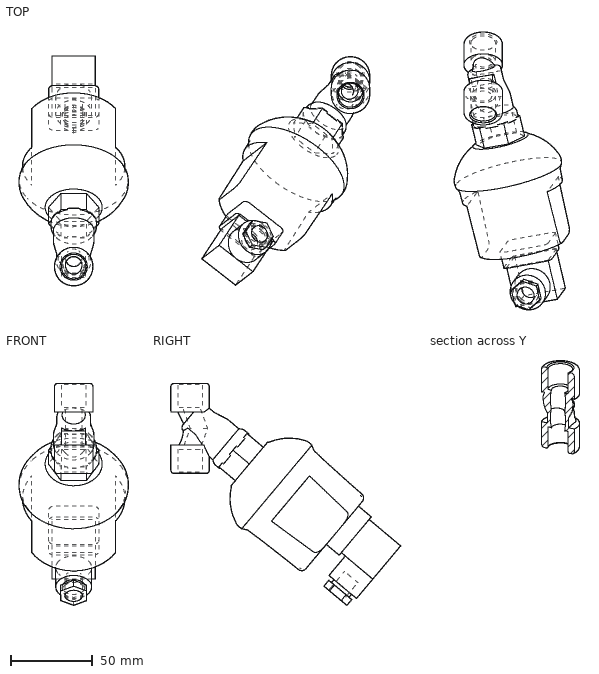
import math

import cadquery as cq

AXIS_TILT = 40.0
FULL_TURN = 360.0
OVERLAP = 1.0

PORT_RADIUS = 11.8
PORT_TOP = 18.85
PORT_SPAN = 55.0
PORT_LENGTH = 17.5
PORT_EDGE_FILLET = 2.0
PORT_BORE_RADIUS = 7.5
PORT_BORE_DEPTH = 14.6
PORT_BORE_CHAMFER = 0.8
PASSAGE_RADIUS = 5.0
PASSAGE_LEAN = 20.0
PASSAGE_MOUTH_OFFSET = 0.7
PORT_BOTTOM = PORT_TOP - PORT_SPAN
PORT_MID = PORT_TOP - PORT_SPAN / 2
UPPER_PORT_UNDERSIDE = PORT_TOP - PORT_LENGTH
LOWER_PORT_TOP = PORT_BOTTOM + PORT_LENGTH

WEB_WIDTH = 14.7
WEB_FRONT_TOP = (-4.2, PORT_MID - 1.5)
WEB_FRONT_WAIST = (-5.0, PORT_MID - 6.0)
WEB_FRONT_FOOT = (-6.8, LOWER_PORT_TOP)
WEB_CREST = (3.0, PORT_MID + 3.0)
WEB_BACK_FOOT = (8.1, LOWER_PORT_TOP)
WEB_BACK_TOP = (9.0, PORT_MID)

NECK_TIP_STATION = 9.0
NECK_TIP_RADIUS = 2.8
NOSE_STATION = -0.8
NOSE_RADIUS = 7.8
NOSE_CONE_RADIUS = 7.1
NOSE_FILLET = 2.6
THROAT_RADIUS = NOSE_RADIUS + NOSE_FILLET
THROAT_START = -10.6
BARREL_RADIUS = 12.4
BARREL_ROUND = (-18.7, 12.2)
BARREL_FRONT = -19.7
BARREL_BACK = -28.5
COLLAR_BACK = -35.15
COLLAR_RADIUS = 13.9
COLLAR_ROUND_START = -32.0
COLLAR_ROUND_MID = (-30.8, 13.75)
COLLAR_ROUND_END = (-29.8, 13.3)

HEX_ACROSS_FLATS = 26.7

DOME_FACE = -47.2
DOME_FACE_RADIUS = 17.4
DOME_LIP = (-47.9, 18.1)
DOME_MID = (-55.3, 27.5)
DOME_START = (-64.6, 33.1)
RIM_STATION = -67.2
RIM_RADIUS = 33.5
RIM_MID = (-65.9, 33.4)
RIM_BACK = (-69.1, 33.3)
RIM_FOOT = (-72.0, 31.8)
BODY_FRONT = -72.8
BODY_FRONT_RADIUS = 31.6
BODY_BACK = -114.8
BODY_BACK_RADIUS = 30.1
BODY_EDGE_FILLET = 3.3
BODY_FLAT_WIDTH = 51.3
BODY_FLAT_FRONT = -80.0

CONNECTOR_OFFSET = 7.85
PLATE_SIZE = 30.6
PLATE_CORNER_RADIUS = 3.5
PLATE_BACK = -125.0
BOX_SIZE = 26.5
BOX_BACK = -150.15
GLAND_RADIUS = 11.0
GLAND_STATION = BOX_BACK + GLAND_RADIUS
GLAND_END = -20.9
GLAND_NECK_RADIUS = 7.0
GLAND_NUT_TOP = -23.2
GLAND_NUT_BOTTOM = -27.9
GLAND_NUT_ACROSS_FLATS = 15.9
GLAND_HOLE_RADIUS = 5.3
GLAND_HOLE_DEPTH = 15.0


def hexagon_diameter(across_flats):
    """Diameter over the corners of a regular hexagon."""
    return across_flats / math.cos(math.radians(30))


def place_on_valve_axis(shape):
    """Tilt a shape modelled along +Z so that its axis points forward (-Y) and up."""
    return shape.rotate((0, 0, 0), (1, 0, 0), 90 - AXIS_TILT)


def valve_profile_solid(outline):
    """Spin a (radius, station) outline about the valve axis, still modelled along +Z."""
    return outline.close().revolve(FULL_TURN, (0, 0, 0), (0, 1, 0))


def profile_point(station_and_radius):
    """Turn a (station, radius) pair into sketch coordinates."""
    station, radius = station_and_radius
    return radius, station


def make_neck():
    nose_center_radius = THROAT_RADIUS - NOSE_FILLET
    nose_center_station = NOSE_STATION - NOSE_FILLET
    diagonal = NOSE_FILLET * math.sqrt(0.5)
    outline = (
        cq.Workplane("XZ")
        .moveTo(0, COLLAR_BACK)
        .lineTo(COLLAR_RADIUS, COLLAR_BACK)
        .lineTo(COLLAR_RADIUS, COLLAR_ROUND_START)
        .threePointArc(profile_point(COLLAR_ROUND_MID), profile_point(COLLAR_ROUND_END))
        .lineTo(BARREL_RADIUS, BARREL_BACK)
        .lineTo(BARREL_RADIUS, BARREL_FRONT)
        .lineTo(*profile_point(BARREL_ROUND))
        .lineTo(THROAT_RADIUS, THROAT_START)
        .lineTo(THROAT_RADIUS, nose_center_station)
        .threePointArc(
            (nose_center_radius + diagonal, nose_center_station + diagonal),
            (NOSE_RADIUS, NOSE_STATION),
        )
        .lineTo(NOSE_CONE_RADIUS, NOSE_STATION)
        .lineTo(NECK_TIP_RADIUS, NECK_TIP_STATION)
        .lineTo(0, NECK_TIP_STATION)
    )
    neck = place_on_valve_axis(valve_profile_solid(outline))
    headroom = (
        cq.Workplane("XY", origin=(0, 0, UPPER_PORT_UNDERSIDE + OVERLAP))
        .circle(PORT_RADIUS - OVERLAP)
        .extrude(PORT_LENGTH)
    )
    return neck.cut(headroom)


def make_hexagon():
    hexagon = (
        cq.Workplane("XY", origin=(0, 0, DOME_FACE - OVERLAP))
        .polygon(6, hexagon_diameter(HEX_ACROSS_FLATS))
        .extrude(COLLAR_BACK - DOME_FACE + 2 * OVERLAP)
    )
    return place_on_valve_axis(hexagon)


def make_housing():
    outline = (
        cq.Workplane("XZ")
        .moveTo(0, BODY_BACK)
        .lineTo(BODY_BACK_RADIUS, BODY_BACK)
        .lineTo(BODY_FRONT_RADIUS, BODY_FRONT)
        .lineTo(*profile_point(RIM_FOOT))
        .lineTo(*profile_point(RIM_BACK))
        .lineTo(RIM_RADIUS, RIM_STATION)
        .threePointArc(profile_point(RIM_MID), profile_point(DOME_START))
        .threePointArc(profile_point(DOME_MID), profile_point(DOME_LIP))
        .lineTo(DOME_FACE_RADIUS, DOME_FACE)
        .lineTo(0, DOME_FACE)
    )
    housing = valve_profile_solid(outline).faces("<Z").edges().fillet(BODY_EDGE_FILLET)
    flat_length = BODY_FLAT_FRONT - BODY_BACK
    for side in (-1, 1):
        flat_cut = (
            cq.Workplane("XY", origin=(side * BODY_FLAT_WIDTH, 0, BODY_BACK))
            .rect(BODY_FLAT_WIDTH, 2 * RIM_RADIUS)
            .extrude(flat_length)
        )
        housing = housing.cut(flat_cut)
    return place_on_valve_axis(housing)


def make_connector():
    plate = (
        cq.Workplane("XY", origin=(0, CONNECTOR_OFFSET, PLATE_BACK))
        .rect(PLATE_SIZE, PLATE_SIZE)
        .extrude(BODY_BACK - PLATE_BACK + OVERLAP)
        .edges("|Z")
        .fillet(PLATE_CORNER_RADIUS)
    )
    box = (
        cq.Workplane("XY", origin=(0, CONNECTOR_OFFSET, BOX_BACK))
        .rect(BOX_SIZE, BOX_SIZE)
        .extrude(PLATE_BACK - BOX_BACK + OVERLAP)
    )
    return place_on_valve_axis(plate.union(box).union(make_gland()).cut(make_gland_hole()))


def gland_plane(height):
    """Plane across the gland; its local x runs along the valve axis and it extrudes upward."""
    return cq.Workplane(
        cq.Plane(origin=(0, height, GLAND_STATION), xDir=(0, 0, 1), normal=(0, 1, 0))
    )


def make_gland():
    body = gland_plane(GLAND_END).circle(GLAND_RADIUS).extrude(CONNECTOR_OFFSET - GLAND_END)
    neck = gland_plane(GLAND_NUT_TOP).circle(GLAND_NECK_RADIUS).extrude(-GLAND_NUT_TOP)
    nut = (
        gland_plane(GLAND_NUT_BOTTOM)
        .polygon(6, hexagon_diameter(GLAND_NUT_ACROSS_FLATS))
        .extrude(GLAND_NUT_TOP - GLAND_NUT_BOTTOM)
    )
    return body.union(neck).union(nut)


def make_gland_hole():
    return gland_plane(GLAND_NUT_BOTTOM).circle(GLAND_HOLE_RADIUS).extrude(GLAND_HOLE_DEPTH)


def make_web():
    return (
        cq.Workplane("YZ", origin=(-WEB_WIDTH / 2, 0, 0))
        .moveTo(*WEB_FRONT_FOOT)
        .threePointArc(WEB_FRONT_WAIST, WEB_FRONT_TOP)
        .lineTo(*WEB_CREST)
        .lineTo(*WEB_BACK_TOP)
        .lineTo(*WEB_BACK_FOOT)
        .close()
        .extrude(WEB_WIDTH)
    )


def make_ports():
    ports = []
    for start, open_end in ((UPPER_PORT_UNDERSIDE, ">Z"), (PORT_BOTTOM, "<Z")):
        port = (
            cq.Workplane("XY", origin=(0, 0, start))
            .circle(PORT_RADIUS)
            .extrude(PORT_LENGTH)
            .faces(open_end)
            .edges()
            .fillet(PORT_EDGE_FILLET)
        )
        ports.append(port)
    return ports[0].union(ports[1])


def make_port_bores():
    mouth_radius = PORT_BORE_RADIUS + PORT_BORE_CHAMFER
    bore_floor = PORT_SPAN / 2 - PORT_BORE_DEPTH
    port_end = PORT_SPAN / 2
    upper_bore = (
        cq.Workplane("XZ", origin=(0, 0, PORT_MID))
        .moveTo(0, bore_floor)
        .lineTo(PORT_BORE_RADIUS, bore_floor)
        .lineTo(PORT_BORE_RADIUS, port_end - PORT_BORE_CHAMFER)
        .lineTo(mouth_radius, port_end)
        .lineTo(0, port_end)
        .close()
        .revolve(FULL_TURN, (0, 0, 0), (0, 1, 0))
    )
    bores = upper_bore.union(make_upper_passage(bore_floor))
    return bores.union(bores.mirror("XY", (0, 0, PORT_MID)))


def make_upper_passage(bore_floor):
    """Slanted round passage from the bend at mid height up to the floor of the upper bore."""
    lean = math.radians(PASSAGE_LEAN)
    bend_offset = PASSAGE_MOUTH_OFFSET + bore_floor * math.tan(lean)
    path = (
        cq.Workplane("YZ")
        .moveTo(bend_offset, PORT_MID)
        .lineTo(PASSAGE_MOUTH_OFFSET, PORT_MID + bore_floor)
    )
    return (
        cq.Workplane("XY", origin=(0, bend_offset, PORT_MID))
        .ellipse(PASSAGE_RADIUS, PASSAGE_RADIUS / math.cos(lean))
        .sweep(path)
    )


valve = make_housing().union(make_connector()).union(make_hexagon()).union(make_neck())
result = valve.union(make_web()).union(make_ports()).cut(make_port_bores())